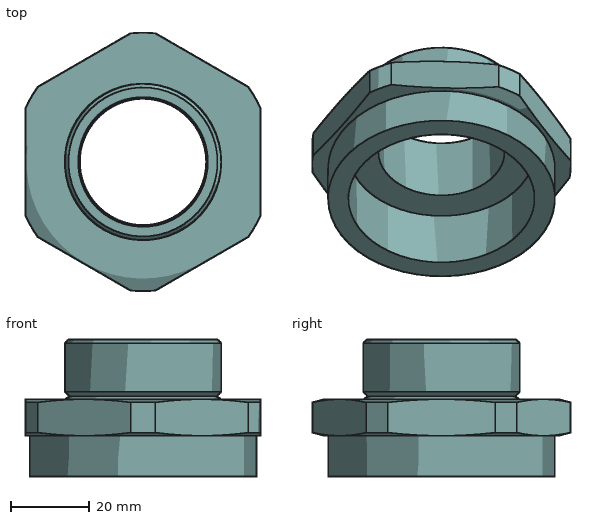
import cadquery as cq
import math

total_height = 35.0
base_height = 10.35
hex_thickness = 9.45
hex_top = base_height + hex_thickness

across_flats = 60.0
corner_diameter = 66.0
crown_radius = 29.75
crown_angle = 15.0

base_diameter = 57.9
spigot_radius = 20.0
spigot_chamfer = 1.0

relief_radius = 18.8
relief_foot_radius = 19.85
relief_bottom_height = 0.65
spigot_start = hex_top + relief_bottom_height + (spigot_radius - relief_radius)

bore_radius = 16.1
bore_chamfer = 0.45
socket_radius = 23.75
socket_depth = 16.3


def make_flange():
    """Hexagon with flats facing +X and -X, rounded corners and both faces crowned."""
    across_corners = across_flats / math.cos(math.radians(30))
    hexagon = (
        cq.Workplane("XY", origin=(0, 0, base_height))
        .transformed(rotate=(0, 0, 30))
        .polygon(6, across_corners)
        .extrude(hex_thickness)
    )
    corner_radius = corner_diameter / 2
    crown_drop = (corner_radius - crown_radius) * math.tan(math.radians(crown_angle))
    envelope = (
        cq.Workplane("XZ")
        .moveTo(0, base_height)
        .lineTo(crown_radius, base_height)
        .lineTo(corner_radius, base_height + crown_drop)
        .lineTo(corner_radius, hex_top - crown_drop)
        .lineTo(crown_radius, hex_top)
        .lineTo(0, hex_top)
        .close()
        .revolve(360, (0, 0), (0, 1))
    )
    return hexagon.intersect(envelope)


def make_spigot():
    """Upper round end with its chamfered rim and the relief at its foot."""
    return (
        cq.Workplane("XZ")
        .moveTo(0, hex_top)
        .lineTo(relief_foot_radius, hex_top)
        .lineTo(relief_radius, hex_top + relief_bottom_height)
        .lineTo(spigot_radius, spigot_start)
        .lineTo(spigot_radius, total_height - spigot_chamfer)
        .lineTo(spigot_radius - spigot_chamfer, total_height)
        .lineTo(0, total_height)
        .close()
        .revolve(360, (0, 0), (0, 1))
    )


def make_bore():
    """Through bore with a chamfered mouth above and a wide socket below."""
    return (
        cq.Workplane("XZ")
        .lineTo(socket_radius, 0)
        .lineTo(socket_radius, socket_depth)
        .lineTo(bore_radius, socket_depth)
        .lineTo(bore_radius, total_height - bore_chamfer)
        .lineTo(bore_radius + bore_chamfer, total_height)
        .lineTo(0, total_height)
        .close()
        .revolve(360, (0, 0), (0, 1))
    )


base = cq.Workplane("XY").circle(base_diameter / 2).extrude(base_height)
result = base.union(make_flange()).union(make_spigot()).cut(make_bore())